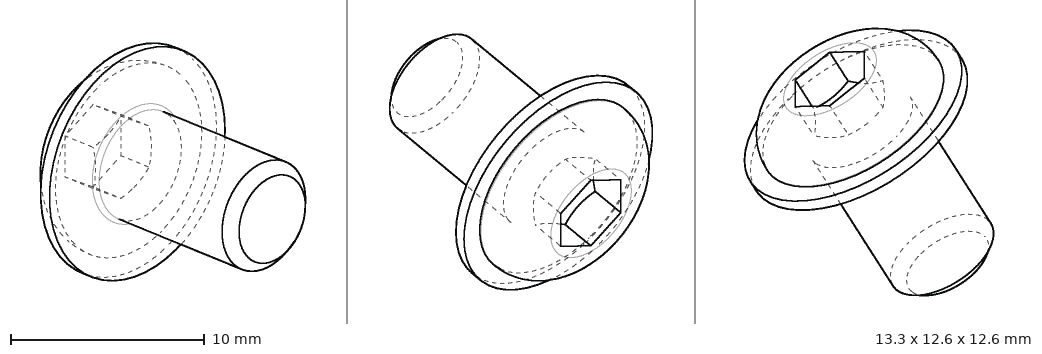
import cadquery as cq
import math


shank_diameter = 6.0
shank_length = 10.0
tip_chamfer = 0.62
neck_fillet = 0.25

head_diameter = 10.5
head_height = 3.3
flange_diameter = 12.6
flange_thickness = 0.66
dome_radius = 2.56

socket_sides = 6
socket_across_flats = 4.0
socket_depth = 2.08
socket_cone_angle = 120.0

shank_radius = shank_diameter / 2
head_radius = head_diameter / 2
flange_radius = flange_diameter / 2
head_top = -head_height
flange_front = -flange_thickness


def revolve_about_x(profile):
    return profile.revolve(360, (0, 0, 0), (1, 0, 0))


def screw_body():
    """Revolve the half profile of head, flange and shank."""
    flat_radius = head_radius - dome_radius
    dome_end = head_top + dome_radius
    dome_mid = (
        dome_end - dome_radius * math.cos(math.pi / 4),
        flat_radius + dome_radius * math.sin(math.pi / 4),
    )
    neck_mid_offset = neck_fillet * (1 - math.sin(math.pi / 4))
    neck_mid = (neck_mid_offset, shank_radius + neck_mid_offset)

    profile = (
        cq.Workplane("XY")
        .moveTo(head_top, 0)
        .lineTo(head_top, flat_radius)
        .threePointArc(dome_mid, (dome_end, head_radius))
        .lineTo(flange_front, head_radius)
        .lineTo(flange_front, flange_radius)
        .lineTo(0, flange_radius)
        .lineTo(0, shank_radius + neck_fillet)
        .threePointArc(neck_mid, (neck_fillet, shank_radius))
        .lineTo(shank_length - tip_chamfer, shank_radius)
        .lineTo(shank_length, shank_radius - tip_chamfer)
        .lineTo(shank_length, 0)
        .close()
    )
    return revolve_about_x(profile)


def hex_socket():
    """Hexagonal prism, corners on the Z axis, ended by a cone through its corners."""
    corner_radius = socket_across_flats / 2 / math.cos(math.pi / socket_sides)
    cone_height = corner_radius / math.tan(math.radians(socket_cone_angle / 2))
    wall_end = head_top + socket_depth
    cone_tip = wall_end + cone_height

    corners = []
    for index in range(socket_sides):
        angle = math.pi / 2 + index * 2 * math.pi / socket_sides
        corners.append((corner_radius * math.cos(angle), corner_radius * math.sin(angle)))
    prism = (
        cq.Workplane("YZ", origin=(head_top, 0, 0))
        .polyline(corners)
        .close()
        .extrude(socket_depth + cone_height)
    )

    pointed_cylinder = revolve_about_x(
        cq.Workplane("XY")
        .moveTo(head_top, 0)
        .lineTo(head_top, corner_radius)
        .lineTo(wall_end, corner_radius)
        .lineTo(cone_tip, 0)
        .close()
    )
    return prism.intersect(pointed_cylinder)


result = screw_body().cut(hex_socket())